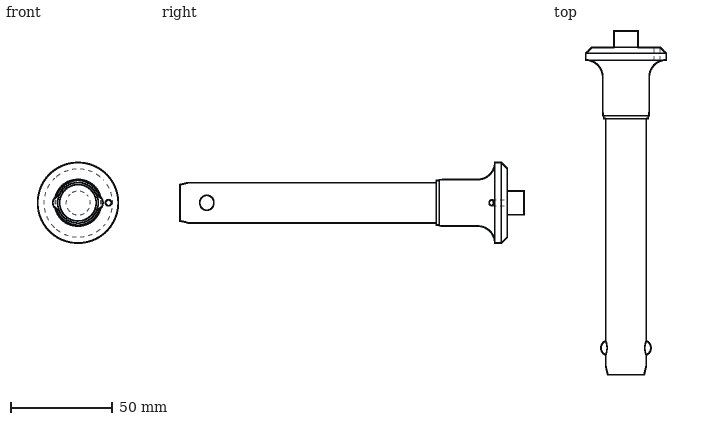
import cadquery as cq
import math

total_length = 170.1
rim_diameter = 40.0

button_radius = 6.0
rim_radius = rim_diameter / 2
sleeve_radius = 11.5
collar_radius = 11.0
shaft_radius = 10.0
tip_radius = 9.0

button_length = 8.2
rim_chamfer_length = 3.0
rim_chamfer_depth = 3.0
rim_band_length = 3.2
sleeve_length = 17.0
sleeve_end_length = 2.0
sleeve_end_step = 0.2
collar_length = 1.5
tip_length = 4.0

ball_radius = 3.7
ball_reach = 12.5
ball_from_tip = 13.3
hole_radius = 1.45
hole_offset = 15.1

button_end = total_length / 2
tip_end = -total_length / 2
head_top = button_end - button_length
rim_top = head_top - rim_chamfer_length
rim_bottom = rim_top - rim_band_length
flare_radius = rim_radius - sleeve_radius
flare_end = rim_bottom - flare_radius
sleeve_taper_start = flare_end - sleeve_length
sleeve_end = sleeve_taper_start - sleeve_end_length
collar_end = sleeve_end - collar_length


def pin_body():
    """Revolve the half profile of button, head, sleeve and shaft about Y."""
    flare_mid = (
        rim_radius - flare_radius * math.sqrt(0.5),
        flare_end + flare_radius * math.sqrt(0.5),
    )
    profile = (
        cq.Workplane("XY")
        .moveTo(0, tip_end)
        .lineTo(tip_radius, tip_end)
        .lineTo(shaft_radius, tip_end + tip_length)
        .lineTo(shaft_radius, collar_end)
        .lineTo(collar_radius, collar_end)
        .lineTo(collar_radius, sleeve_end)
        .lineTo(sleeve_radius - sleeve_end_step, sleeve_end)
        .lineTo(sleeve_radius, sleeve_taper_start)
        .lineTo(sleeve_radius, flare_end)
        .threePointArc(flare_mid, (rim_radius, rim_bottom))
        .lineTo(rim_radius, rim_top)
        .lineTo(rim_radius - rim_chamfer_depth, head_top)
        .lineTo(button_radius, head_top)
        .lineTo(button_radius, button_end)
        .lineTo(0, button_end)
        .close()
    )
    return profile.revolve(360, (0, 0, 0), (0, 1, 0))


def locking_ball(side):
    """Ball standing partly out of the shaft on the given X side."""
    ball_center = (side * (ball_reach - ball_radius), tip_end + ball_from_tip, 0)
    return cq.Workplane("XY").sphere(ball_radius).translate(ball_center)


def lanyard_hole():
    """Round cutter passing through the head parallel to the pin axis."""
    return (
        cq.Workplane("XZ", origin=(hole_offset, head_top, 0))
        .circle(hole_radius)
        .extrude(head_top - flare_end)
    )


result = pin_body()
for side in (-1, 1):
    result = result.union(locking_ball(side))
result = result.cut(lanyard_hole())